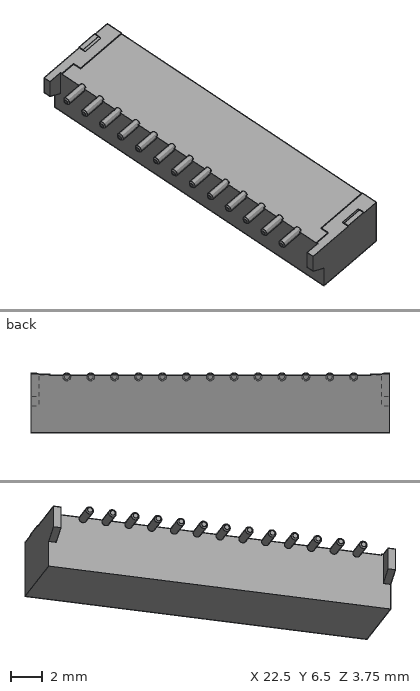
import cadquery as cq

LENGTH = 22.5
OVERALL_DEPTH = 6.5
OVERALL_HEIGHT = 3.75

BODY_DEPTH = 5.0
BODY_HEIGHT = 3.62

PLATE_TOP = 3.7
PLATE_WIDTH = 1.2
PLATE_NARROW_WIDTH = 0.6
PLATE_STEP_DEPTH = 3.9

ARM_THICKNESS = 0.5
ARM_DEPTH = 6.0
ARM_TIP_BOTTOM = 2.27
ARM_ROOT_BOTTOM = 1.69

PAD_BACK = 1.2
PAD_FRONT = 2.68
PAD_BASE_WIDTH = ARM_THICKNESS
PAD_TOP_WIDTH = 0.34

PIN_COUNT = 13
PIN_ROW_LENGTH = 18.0
PIN_PITCH = PIN_ROW_LENGTH / (PIN_COUNT - 1)
PIN_DIAMETER = 0.5
PIN_CHAMFER = 0.1
PIN_ROOT_DEPTH = 4.84
PIN_HEIGHT = OVERALL_HEIGHT - PIN_DIAMETER / 2

LEFT = -LENGTH / 2


def make_body():
    block = cq.Workplane("XY").box(LENGTH, BODY_DEPTH, BODY_HEIGHT, centered=(True, False, False))
    return block.translate((0, -BODY_DEPTH, 0))


def make_end_plate():
    """Stepped plate on the left end, wide at the back and narrow at the front."""
    outline = [
        (LEFT, 0),
        (LEFT + PLATE_WIDTH, 0),
        (LEFT + PLATE_WIDTH, -PLATE_STEP_DEPTH),
        (LEFT + PLATE_NARROW_WIDTH, -PLATE_STEP_DEPTH),
        (LEFT + PLATE_NARROW_WIDTH, -BODY_DEPTH),
        (LEFT, -BODY_DEPTH),
    ]
    return (
        cq.Workplane("XY")
        .workplane(offset=BODY_HEIGHT)
        .polyline(outline)
        .close()
        .extrude(PLATE_TOP - BODY_HEIGHT)
    )


def make_arm():
    """Left arm, with an underside that slopes up toward its tip."""
    profile = [
        (-BODY_DEPTH, PLATE_TOP),
        (-ARM_DEPTH, PLATE_TOP),
        (-ARM_DEPTH, ARM_TIP_BOTTOM),
        (-BODY_DEPTH, ARM_ROOT_BOTTOM),
    ]
    return cq.Workplane("YZ").workplane(offset=LEFT).polyline(profile).close().extrude(ARM_THICKNESS)


def make_pad():
    profile = [
        (LEFT, PLATE_TOP),
        (LEFT + PAD_BASE_WIDTH, PLATE_TOP),
        (LEFT + PAD_TOP_WIDTH, OVERALL_HEIGHT),
        (LEFT, OVERALL_HEIGHT),
    ]
    return cq.Workplane("XZ").workplane(offset=PAD_BACK).polyline(profile).close().extrude(PAD_FRONT - PAD_BACK)


def make_pin(x):
    return (
        cq.Workplane("XZ")
        .workplane(offset=PIN_ROOT_DEPTH)
        .center(x, PIN_HEIGHT)
        .circle(PIN_DIAMETER / 2)
        .extrude(OVERALL_DEPTH - PIN_ROOT_DEPTH)
        .faces("<Y")
        .chamfer(PIN_CHAMFER)
    )


result = make_body()

left_end = make_end_plate().union(make_arm()).union(make_pad())
result = result.union(left_end).union(left_end.mirror("YZ"))

for index in range(PIN_COUNT):
    pin_x = index * PIN_PITCH - PIN_ROW_LENGTH / 2
    result = result.union(make_pin(pin_x))